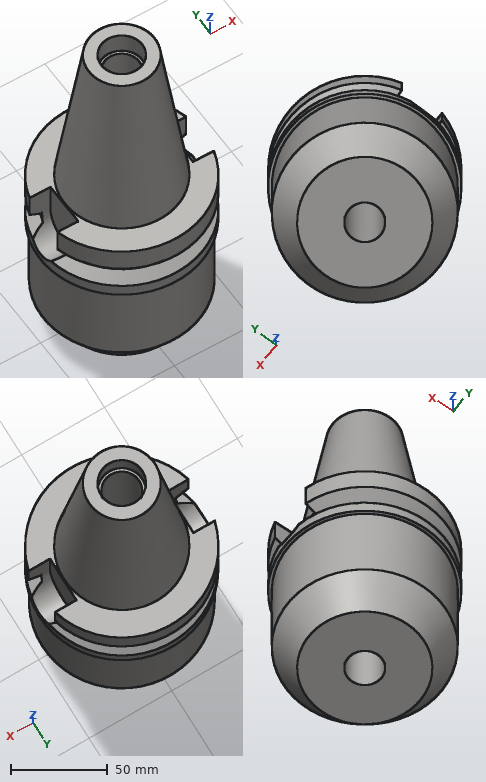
import cadquery as cq

total_height = 211.8
nose_height = 19.7
flange_bottom = 71.8
groove_lower_edge = 79.5
groove_floor_bottom = 83.9
groove_floor_top = 90.0
groove_upper_edge = 94.3
flange_top = 108.9
taper_start = 110.0

nose_radius = 35.0
body_radius = 48.0
flange_radius = 50.0
groove_radius = 42.5
taper_large_radius = 35.0
taper_small_radius = 20.1

bore_radius = 10.5
counterbore_radius = 12.5
counterbore_depth = 13.1

slot_width = 26.3
slot_floor = 35.4
slot_bottom = 76.2


def turned_body():
    """Nose, body, grooved flange and taper as one revolved profile."""
    profile = [
        (0, 0),
        (nose_radius, 0),
        (body_radius, nose_height),
        (body_radius, flange_bottom),
        (flange_radius, flange_bottom),
        (flange_radius, groove_lower_edge),
        (groove_radius, groove_floor_bottom),
        (groove_radius, groove_floor_top),
        (flange_radius, groove_upper_edge),
        (flange_radius, flange_top),
        (taper_large_radius, flange_top),
        (taper_large_radius, taper_start),
        (taper_small_radius, total_height),
        (0, total_height),
    ]
    return cq.Workplane("XZ").polyline(profile).close().revolve(360, (0, 0), (0, 1))


def stepped_bore():
    """Through bore with a wider counterbore at the taper end."""
    bore = cq.Workplane("XY").circle(bore_radius).extrude(total_height)
    counterbore = (
        cq.Workplane("XY", origin=(0, 0, total_height - counterbore_depth))
        .circle(counterbore_radius)
        .extrude(counterbore_depth)
    )
    return bore.union(counterbore)


def drive_slot(side):
    """Round-bottomed slot, open at the flange top, on the +X (1) or -X (-1) side."""
    half_width = slot_width / 2
    arc_center = slot_bottom + half_width
    return (
        cq.Workplane("YZ", origin=(side * slot_floor, 0, 0))
        .moveTo(-half_width, flange_top)
        .lineTo(-half_width, arc_center)
        .threePointArc((0, slot_bottom), (half_width, arc_center))
        .lineTo(half_width, flange_top)
        .close()
        .extrude(side * (flange_radius - slot_floor))
    )


result = turned_body().cut(stepped_bore())
for side in (-1, 1):
    result = result.cut(drive_slot(side))